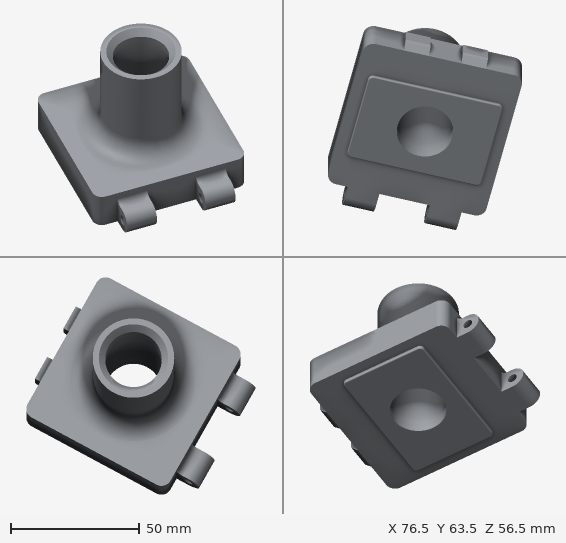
import cadquery as cq

BASE_SIDE = 63.5
BASE_HEIGHT = 15.0
BASE_CORNER_RADIUS = 4.0

SPIGOT_DIAMETER = 31.75
SPIGOT_HEIGHT = 40.0
SPIGOT_FLARE_RADIUS = 8.0

BORE_DIAMETER = 22.0
MOUTH_DIAMETER = 27.0
MOUTH_DEPTH = 2.5

PAD_LENGTH_X = 36.5
PAD_LENGTH_Y = 54.0
PAD_DEPTH = 1.5
PAD_CORNER_RADIUS = 2.0
PAD_EDGE_RADIUS = 0.5

LUG_REACH = 3.0
LUG_HEIGHT = 10.0
LUG_WIDTH = 10.0
LUG_OFFSET_Y = 11.5
LUG_NOSE_RADIUS = 2.0

KNUCKLE_RADIUS = 5.0
KNUCKLE_WIDTH = 12.5
KNUCKLE_OFFSET_Y = 16.5
KNUCKLE_FILLET_RADIUS = 2.5
HINGE_PIN_DIAMETER = 4.0

BASE_HALF = BASE_SIDE / 2
PART_TOP = BASE_HEIGHT + SPIGOT_HEIGHT


def make_base():
    """Square block with rounded vertical corners."""
    block = cq.Workplane("XY").rect(BASE_SIDE, BASE_SIDE).extrude(BASE_HEIGHT)
    return block.edges("|Z").fillet(BASE_CORNER_RADIUS)


def make_spigot():
    """Cylinder that flares out to meet the top of the base, as a revolved profile."""
    radius = SPIGOT_DIAMETER / 2
    foot_radius = radius + SPIGOT_FLARE_RADIUS
    flare_top = BASE_HEIGHT + SPIGOT_FLARE_RADIUS
    return (
        cq.Workplane("XZ")
        .moveTo(0, 0)
        .lineTo(foot_radius, 0)
        .lineTo(foot_radius, BASE_HEIGHT)
        .radiusArc((radius, flare_top), SPIGOT_FLARE_RADIUS)
        .lineTo(radius, PART_TOP)
        .lineTo(0, PART_TOP)
        .close()
        .revolve(360, (0, 0, 0), (0, 1, 0))
    )


def make_pad():
    """Rounded rectangular pad below the base, with a rounded lower rim."""
    pad = cq.Workplane("XY").rect(PAD_LENGTH_X, PAD_LENGTH_Y).extrude(-PAD_DEPTH)
    pad = pad.edges("|Z").fillet(PAD_CORNER_RADIUS)
    return pad.faces("<Z").edges().fillet(PAD_EDGE_RADIUS)


def make_lug(center_y):
    """Latch lug with a 45 degree underside and a rounded nose."""
    nose_x = -BASE_HALF - LUG_REACH
    lug = (
        cq.Workplane("XZ", origin=(0, center_y, 0))
        .moveTo(-BASE_HALF, 0)
        .lineTo(nose_x, LUG_REACH)
        .lineTo(nose_x, LUG_HEIGHT)
        .lineTo(-BASE_HALF, LUG_HEIGHT)
        .close()
        .extrude(LUG_WIDTH / 2, both=True)
    )
    nose_edge = cq.selectors.NearestToPointSelector((nose_x, center_y, LUG_REACH))
    return lug.edges(nose_edge).fillet(LUG_NOSE_RADIUS)


def make_knuckle(center_y):
    """Hinge knuckle with a round end, a fillet into the base and a pin hole."""
    pin_x = BASE_HALF + KNUCKLE_RADIUS
    top = 2 * KNUCKLE_RADIUS
    fillet = KNUCKLE_FILLET_RADIUS
    body = (
        cq.Workplane("XZ", origin=(0, center_y, 0))
        .moveTo(BASE_HALF, 0)
        .lineTo(pin_x, 0)
        .threePointArc((pin_x + KNUCKLE_RADIUS, KNUCKLE_RADIUS), (pin_x, top))
        .lineTo(BASE_HALF + fillet, top)
        .radiusArc((BASE_HALF, top + fillet), fillet)
        .close()
        .extrude(KNUCKLE_WIDTH / 2, both=True)
    )
    pin_hole = (
        cq.Workplane("XZ", origin=(0, center_y, 0))
        .center(pin_x, KNUCKLE_RADIUS)
        .circle(HINGE_PIN_DIAMETER / 2)
        .extrude(KNUCKLE_WIDTH / 2, both=True)
    )
    return body.cut(pin_hole)


def make_bore():
    """Cutter for the through bore and its conical mouth."""
    bore_radius = BORE_DIAMETER / 2
    return (
        cq.Workplane("XZ")
        .moveTo(0, -PAD_DEPTH)
        .lineTo(bore_radius, -PAD_DEPTH)
        .lineTo(bore_radius, PART_TOP - MOUTH_DEPTH)
        .lineTo(MOUTH_DIAMETER / 2, PART_TOP)
        .lineTo(0, PART_TOP)
        .close()
        .revolve(360, (0, 0, 0), (0, 1, 0))
    )


body = make_base().union(make_spigot()).union(make_pad())
for side in (-1, 1):
    body = body.union(make_lug(side * LUG_OFFSET_Y))
    body = body.union(make_knuckle(side * KNUCKLE_OFFSET_Y))

result = body.cut(make_bore())